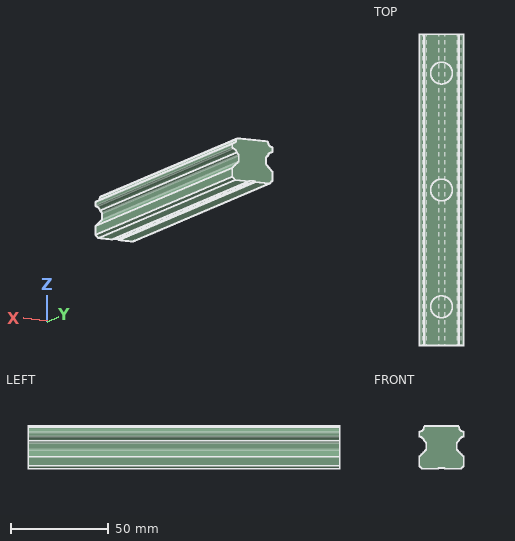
import cadquery as cq

length = 160.0
width = 23.0
height = 22.0
half_width = width / 2

top_half_width = 8.5
bevel = 0.6
shoulder_half_width = 10.7
shoulder_height = 19.4
shoulder_sag = 0.51

lip_top = 19.0
lip_bottom = 16.6
lip_rounding = 0.6

groove_half_width = 10.9
groove_top = 16.5
groove_bottom = 14.5
groove_sag = 0.37

web_half_width = 7.8
web_top = 13.5
web_bottom = 10.0
web_rounding = 0.8
groove_inner_half_width = web_half_width + (groove_bottom - web_top)

foot_top = web_bottom - (half_width - web_half_width)
foot_bevel = 1.6

relief_mouth = 3.5
relief_floor = 2.9
relief_depth = 0.5

cap_diameter = 11.2
cap_count = 3
cap_pitch = 60.0
cap_depth = 0.08


def rail_half():
    """Right half of the rail, extruded from the front end along +Y."""
    return (
        cq.Workplane("XZ")
        .moveTo(0, height)
        .lineTo(top_half_width, height)
        .lineTo(top_half_width + bevel, height - bevel)
        .sagittaArc((shoulder_half_width, shoulder_height), -shoulder_sag)
        .lineTo(half_width, lip_top)
        .lineTo(half_width, lip_bottom)
        .lineTo(groove_half_width, groove_top)
        .sagittaArc((groove_inner_half_width, groove_bottom), -groove_sag)
        .lineTo(web_half_width, web_top)
        .lineTo(web_half_width, web_bottom)
        .lineTo(half_width, foot_top)
        .lineTo(half_width, foot_bevel)
        .lineTo(half_width - foot_bevel, 0)
        .lineTo(relief_mouth / 2, 0)
        .lineTo(relief_floor / 2, relief_depth)
        .lineTo(0, relief_depth)
        .close()
        .extrude(-length)
    )


def round_long_edges(body, x, low, high, radius):
    """Round the lengthwise edges at the given X between two heights."""
    margin = 0.08
    box = cq.selectors.BoxSelector(
        (x - margin, 0, low - margin),
        (x + margin, length, high + margin),
    )
    return body.edges("|Y").edges(box).fillet(radius)


half = rail_half()
half = round_long_edges(half, half_width, lip_bottom, lip_top, lip_rounding)
half = round_long_edges(half, web_half_width, web_bottom, web_top, web_rounding)
rail = half.union(half.mirror("YZ")).clean()

caps = (
    cq.Workplane("XY", origin=(0, length / 2, height))
    .rarray(1.6, cap_pitch, 1, cap_count)
    .circle(cap_diameter / 2)
    .extrude(-cap_depth)
)
result = rail.cut(caps)